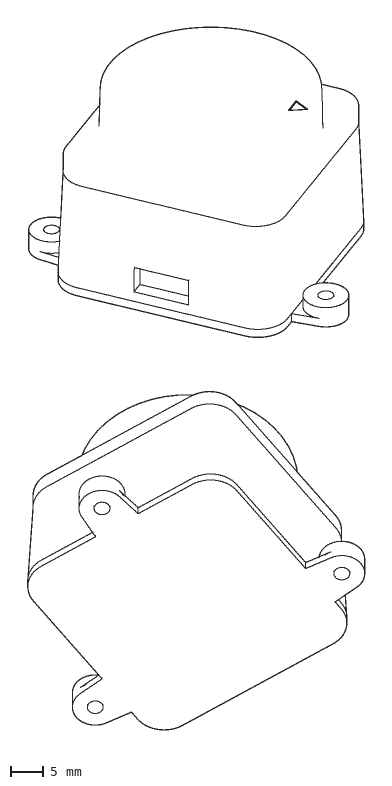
import cadquery as cq
import math

base_width = 38.6
base_thickness = 1.5
corner_radius = 5.0
boss_diameter = 7.2
boss_height = 3.6
ear_hole_diameter = 2.5
ear_reach = 26.95
side_ear_y = -8.6
ear_flare_angle = 6.0

housing_top_z = 20.1
slot_width = 9.3
slot_height = 4.4
slot_bottom_z = 3.25
slot_depth = 2.4

lid_width = 37.45
lid_top_z = 23.55
total_height = 31.3
dome_bottom_radius = 17.5
dome_top_radius = 17.3
edge_radius = 0.5

pointer_tip_x = 16.5
pointer_length = 2.65
pointer_width = 3.0
pointer_depth = 0.1
pointer_wall_slope = 45.0

boss_radius = boss_diameter / 2
ear_distance = ear_reach - boss_radius


def rounded_square(width):
    return cq.Sketch().rect(width, width).vertices().fillet(corner_radius)


def make_ear(angle, offset):
    """Flared arm and round boss, pointing along `angle` and shifted sideways by `offset`."""
    flare = math.radians(ear_flare_angle)
    tangent_x = ear_distance + boss_radius * math.sin(flare)
    tangent_y = boss_radius * math.cos(flare)
    root_x = base_width / 2 - corner_radius / 2
    root_y = tangent_y + (tangent_x - root_x) * math.tan(flare)
    arm = (
        cq.Workplane("XY")
        .polyline([(root_x, -root_y), (tangent_x, -tangent_y), (tangent_x, tangent_y), (root_x, root_y)])
        .close()
        .extrude(base_thickness)
    )
    boss = cq.Workplane("XY").center(ear_distance, 0).circle(boss_radius).extrude(boss_height)
    hole = cq.Workplane("XY").center(ear_distance, 0).circle(ear_hole_diameter / 2).extrude(boss_height)
    ear = arm.union(boss).cut(hole)
    return ear.translate((0, offset, 0)).rotate((0, 0, 0), (0, 0, 1), angle)


def make_base():
    base = cq.Workplane("XY").placeSketch(rounded_square(base_width)).extrude(base_thickness)
    for angle, offset in [(0, side_ear_y), (90, 0), (180, -side_ear_y)]:
        base = base.union(make_ear(angle, offset))
    return base


def make_housing():
    wall = (
        cq.Workplane("XY", origin=(0, 0, base_thickness))
        .placeSketch(
            rounded_square(base_width),
            rounded_square(lid_width).moved(cq.Location(cq.Vector(0, 0, housing_top_z - base_thickness))),
        )
        .loft()
    )
    slot = cq.Workplane("XY").box(slot_width, slot_depth, slot_height, centered=(True, False, False))
    return wall.cut(slot.translate((0, -base_width / 2, slot_bottom_z)))


def make_dome():
    """Revolved dome with a rounded rim and a concave foot that blends into the lid."""
    diagonal = edge_radius * math.sqrt(0.5)
    foot_radius = dome_bottom_radius + edge_radius
    foot_z = lid_top_z + edge_radius
    rim_radius = dome_top_radius - edge_radius
    rim_z = total_height - edge_radius
    return (
        cq.Workplane("XZ")
        .moveTo(0, lid_top_z)
        .lineTo(foot_radius, lid_top_z)
        .threePointArc((foot_radius - diagonal, foot_z - diagonal), (dome_bottom_radius, foot_z))
        .lineTo(dome_top_radius, rim_z)
        .threePointArc((rim_radius + diagonal, rim_z + diagonal), (rim_radius, total_height))
        .lineTo(0, total_height)
        .close()
        .revolve(360, (0, 0, 0), (0, 1, 0))
    )


def make_lid():
    slab = (
        cq.Workplane("XY", origin=(0, 0, housing_top_z))
        .placeSketch(rounded_square(lid_width))
        .extrude(lid_top_z - housing_top_z)
        .faces(">Z")
        .edges()
        .fillet(edge_radius)
    )
    pointer_back_x = pointer_tip_x - pointer_length
    pointer = (
        cq.Workplane("XY", origin=(0, 0, total_height))
        .polyline([(pointer_tip_x, 0), (pointer_back_x, pointer_width / 2), (pointer_back_x, -pointer_width / 2)])
        .close()
        .extrude(-pointer_depth, taper=pointer_wall_slope)
    )
    return slab.union(make_dome()).cut(pointer)


base = make_base()
housing = make_housing()
lid = make_lid()

result = cq.Compound.makeCompound([base.solids().val(), housing.solids().val(), lid.solids().val()])